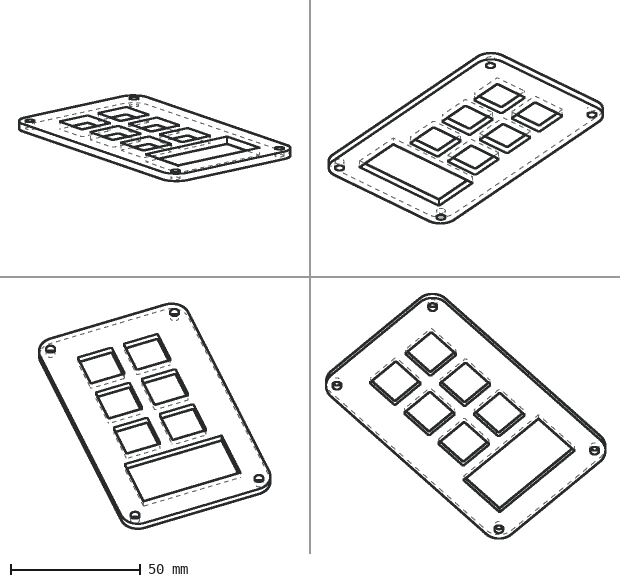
import cadquery as cq

plate_length = 100.2
plate_width = 61.3
plate_thickness = 3.0
corner_radius = 6.9

screw_hole_diameter = 3.4
screw_hole_inset = 5.0

switch_size = 14.0
switch_corner_radius = 0.5
switch_pitch = 19.0
switch_columns = 3
switch_rows = 2
switch_grid_center = (-11.2, -0.9)

window_length = 20.0
window_width = 40.1
window_center = (29.7, 0.0)


def make_plate():
    return (
        cq.Workplane("XY")
        .rect(plate_length, plate_width)
        .extrude(plate_thickness)
        .edges("|Z")
        .fillet(corner_radius)
    )


def make_screw_holes():
    hole_spacing_x = plate_length - 2 * screw_hole_inset
    hole_spacing_y = plate_width - 2 * screw_hole_inset
    return (
        cq.Workplane("XY")
        .rect(hole_spacing_x, hole_spacing_y, forConstruction=True)
        .vertices()
        .circle(screw_hole_diameter / 2)
        .extrude(plate_thickness)
    )


def make_switch_openings():
    return (
        cq.Workplane("XY")
        .center(*switch_grid_center)
        .rarray(switch_pitch, switch_pitch, switch_columns, switch_rows)
        .rect(switch_size, switch_size)
        .extrude(plate_thickness)
        .edges("|Z")
        .fillet(switch_corner_radius)
    )


def make_window():
    return (
        cq.Workplane("XY")
        .center(*window_center)
        .rect(window_length, window_width)
        .extrude(plate_thickness)
    )


result = (
    make_plate()
    .cut(make_screw_holes())
    .cut(make_switch_openings())
    .cut(make_window())
)